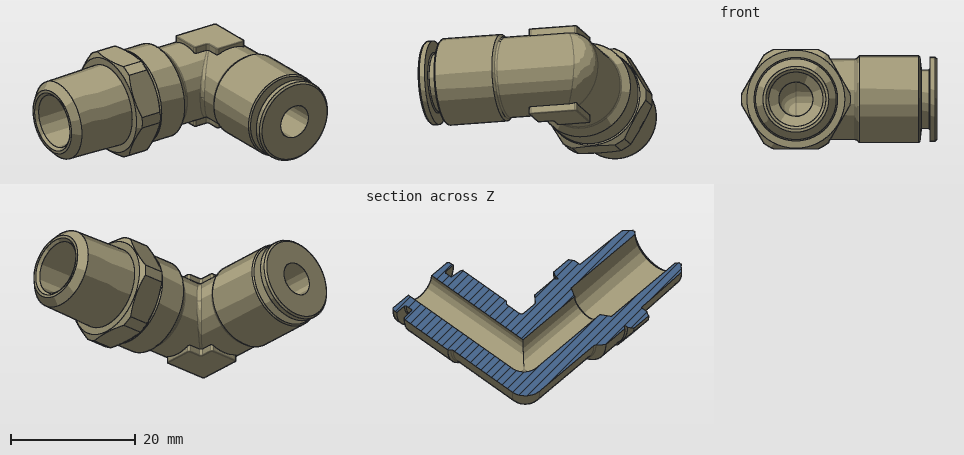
import cadquery as cq
import math


body_radius = 6.5
passage_radius = 2.75
outer_corner_radius = 3.1
inner_corner_radius = 0.5

shoulder_start = 9.5
shoulder_angle = 45
shoulder_blend_radius = 0.5

sleeve_radius = 7.0
sleeve_end = 19.95
sleeve_chamfer = 0.25
end_cone_height = 0.25
neck_radius = 4.7
neck_chamfer = 0.2
flange_start = 21.55
flange_radius = 6.75
flange_chamfer = 0.3
arm_end = 22.7

collar_radius = 7.75
collar_chamfer = 0.5
hex_sides = 6
hex_start = 16.0
hex_end = 20.6
hex_across_flats = 16.0
hex_corner_radius = 8.75
hex_face_radius = 7.87
hex_chamfer_angle = 30
thread_root_radius = 6.7
thread_tip_radius = 6.5
leg_end = 31.6
thread_chamfer = 1.2

bore_radius = 4.35
bore_mouth_chamfer = 0.45
bore_bottom = 16.0
bore_cone_length = 0.95

pad_half_width = 2.7
pad_reach = 5.3
pad_top = 7.05
pad_corner_radius = 0.35
pad_rim_radius = 0.1


def revolve_profile(profile):
    """Close an (x, radius) profile along the X axis and revolve it about that axis."""
    return profile.close().revolve(360, (0, 0, 0), (1, 0, 0))


def arm_to_leg(solid):
    """Turn a solid built along +X so that it runs along -Y."""
    return solid.rotate((0, 0, 0), (0, 0, 1), -90)


def shoulder(outer_radius):
    """Profile from the elbow mouth up the blended shoulder to outer_radius."""
    blend = math.radians(shoulder_angle)

    def blend_point(angle):
        return (
            shoulder_start + shoulder_blend_radius * math.sin(angle),
            body_radius + shoulder_blend_radius * (1 - math.cos(angle)),
        )

    cone_x, cone_radius = blend_point(blend)
    end_x = cone_x + (outer_radius - cone_radius) / math.tan(blend)
    return (
        cq.Workplane("XY")
        .moveTo(shoulder_start, 0)
        .lineTo(shoulder_start, body_radius)
        .threePointArc(blend_point(blend / 2), (cone_x, cone_radius))
        .lineTo(end_x, outer_radius)
    )


def pads():
    """L-shaped prism through the elbow that stands proud above and below it."""
    outline = [
        (-pad_half_width, pad_half_width),
        (pad_reach, pad_half_width),
        (pad_reach, -pad_half_width),
        (pad_half_width, -pad_half_width),
        (pad_half_width, -pad_reach),
        (-pad_half_width, -pad_reach),
    ]
    prism = cq.Workplane("XY").polyline(outline).close().extrude(pad_top, both=True)
    return prism.edges("|Z").fillet(pad_corner_radius).faces("|Z").edges().fillet(pad_rim_radius)


def on_mitre(edge):
    """True for the elliptical edges where the two tubes of the elbow meet."""
    center = edge.Center()
    return edge.geomType() == "ELLIPSE" and math.isclose(center.x, -center.y, abs_tol=0.005)


def elbow():
    """Mitred elbow with its pads, rounded along the mitre on the outside and on the inside of the turn."""
    path = cq.Workplane("XY").polyline([(0, -shoulder_start), (0, 0), (shoulder_start, 0)])
    section = cq.Workplane("XZ", origin=(0, -shoulder_start, 0)).circle(body_radius)
    body = section.sweep(path, transition="right").union(pads())
    for side, radius in ((-1, outer_corner_radius), (1, inner_corner_radius)):
        edges = [edge for edge in body.edges().vals() if on_mitre(edge) and side * edge.Center().x > 0]
        body = body.newObject(edges).fillet(radius)
    return body


def push_in_arm():
    """Sleeve with a faintly conical end, then the narrow neck and flange of the release ring."""
    profile = (
        shoulder(sleeve_radius)
        .lineTo(sleeve_end - sleeve_chamfer, sleeve_radius)
        .lineTo(sleeve_end, sleeve_radius - sleeve_chamfer)
        .lineTo(sleeve_end + end_cone_height, neck_radius)
        .lineTo(flange_start - neck_chamfer, neck_radius)
        .lineTo(flange_start, neck_radius + neck_chamfer)
        .lineTo(flange_start, flange_radius)
        .lineTo(arm_end - flange_chamfer, flange_radius)
        .lineTo(arm_end, flange_radius - flange_chamfer)
        .lineTo(arm_end, 0)
    )
    return revolve_profile(profile)


def hexagon():
    """Wrench hexagon with flats facing +Z and -Z, its corners turned round and chamfered at both ends."""
    width_across_corners = hex_across_flats / math.cos(math.pi / hex_sides)
    blank = cq.Workplane("XZ", origin=(0, -hex_start, 0)).polygon(hex_sides, width_across_corners)
    blank = blank.extrude(hex_end - hex_start)
    chamfer_depth = (hex_corner_radius - hex_face_radius) * math.tan(math.radians(hex_chamfer_angle))
    turned = revolve_profile(
        cq.Workplane("XY")
        .moveTo(hex_start, 0)
        .lineTo(hex_start, hex_face_radius)
        .lineTo(hex_start + chamfer_depth, hex_corner_radius)
        .lineTo(hex_end - chamfer_depth, hex_corner_radius)
        .lineTo(hex_end, hex_face_radius)
        .lineTo(hex_end, 0)
    )
    return blank.intersect(arm_to_leg(turned))


def threaded_leg():
    """Collar, wrench hexagon and tapered thread blank."""
    profile = (
        shoulder(collar_radius)
        .lineTo(hex_start - collar_chamfer, collar_radius)
        .lineTo(hex_start, collar_radius - collar_chamfer)
        .lineTo(hex_end, thread_root_radius)
        .lineTo(leg_end - thread_chamfer, thread_tip_radius)
        .lineTo(leg_end, thread_tip_radius - thread_chamfer)
        .lineTo(leg_end, 0)
    )
    return arm_to_leg(revolve_profile(profile)).union(hexagon())


def passage():
    """Bore of the leg, narrowing through a cone to a round-ended passage that turns off along the arm."""
    round_end = passage_radius * math.sqrt(0.5)
    leg_bore = (
        cq.Workplane("XY")
        .moveTo(-passage_radius, 0)
        .threePointArc((-round_end, round_end), (0, passage_radius))
        .lineTo(bore_bottom - bore_cone_length, passage_radius)
        .lineTo(bore_bottom, bore_radius)
        .lineTo(leg_end - bore_mouth_chamfer, bore_radius)
        .lineTo(leg_end, bore_radius + bore_mouth_chamfer)
        .lineTo(leg_end, 0)
    )
    arm_bore = cq.Workplane("YZ").circle(passage_radius).extrude(arm_end)
    return arm_to_leg(revolve_profile(leg_bore)).union(arm_bore)


result = elbow().union(push_in_arm()).union(threaded_leg()).cut(passage())